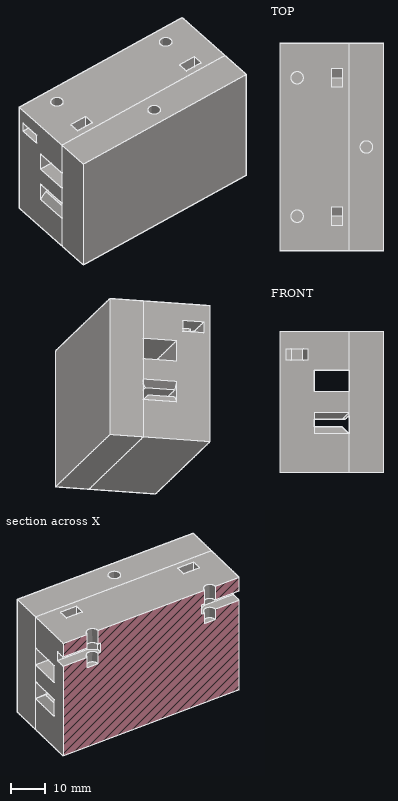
import cadquery as cq
import math

length = 60.0
height = 40.75
housing_width = 20.0
cover_width = 10.0
half_length = length / 2

channel_depth = 10.0
channel_x = housing_width - channel_depth
lead_in = 2.0
slot_height = 2.1
channel_height = slot_height + 2 * lead_in
channel_pitch = 2 * channel_height
slot_z = (height - channel_pitch) / 2
channel_z = slot_z + channel_pitch
upper_bevel_end = 1.1

screw_diameter = 3.6
screw_depth = 12.0
screw_offset_y = 20.0
housing_screw_x = 5.0
cover_screw_x = housing_width + cover_width / 2

nut_flats = 5.45
nut_corners = nut_flats / math.cos(math.radians(30))
nut_thickness = 3.2
end_nut_depth = 6.65
top_nut_inset = 3.5
top_nut_x = housing_width - top_nut_inset
top_nut_depth = 5.0


def block(x_start, width):
    body = cq.Workplane("XY").box(width, length, height, centered=(False, True, False))
    return body.translate((x_start, 0, 0))


def screw_hole(x, y):
    floor = height - screw_depth
    return cq.Workplane("XY", origin=(x, y, floor)).circle(screw_diameter / 2).extrude(screw_depth)


def end_nut_pocket(side):
    """Nut pocket entering an end face (side -1 front, 1 back), centred on the screw hole."""
    floor = height - end_nut_depth - nut_thickness / 2
    nut = (
        cq.Workplane("XY", origin=(housing_screw_x, side * screw_offset_y, floor))
        .polygon(6, nut_corners)
        .extrude(nut_thickness)
    )
    entry_length = half_length - screw_offset_y
    entry = (
        cq.Workplane("XY", origin=(housing_screw_x, side * (screw_offset_y + entry_length / 2), floor))
        .rect(nut_corners, entry_length)
        .extrude(nut_thickness)
    )
    return nut.union(entry)


def top_nut_pocket(y):
    """Nut pocket entering the top face, ending in a corner of the hexagon."""
    x_start = top_nut_x - nut_thickness / 2
    nut = (
        cq.Workplane("YZ", origin=(x_start, y, height - top_nut_depth))
        .transformed(rotate=(0, 0, 90))
        .polygon(6, nut_corners)
        .extrude(nut_thickness)
    )
    entry = (
        cq.Workplane("YZ", origin=(x_start, y, height - top_nut_depth / 2))
        .rect(nut_flats, top_nut_depth)
        .extrude(nut_thickness)
    )
    return nut.union(entry)


def plain_channel():
    return cq.Workplane("XY").box(channel_depth, length, channel_height).translate(
        (channel_x + channel_depth / 2, 0, channel_z)
    )


def slot_section(y, upper_bevel):
    """Slot outline across Y, bevelled where it meets the parting plane."""
    top = slot_z + slot_height / 2
    bottom = slot_z - slot_height / 2
    points = [
        (channel_x, bottom),
        (housing_width - lead_in, bottom),
        (housing_width, bottom - lead_in),
        (housing_width, top + upper_bevel),
        (housing_width - upper_bevel, top),
        (channel_x, top),
    ]
    return cq.Wire.makePolygon([cq.Vector(x, y, z) for x, z in points], close=True)


def slot_mouth(side):
    """Funnel at one end of the slot, with a 45 degree ramp above and below."""
    outer_y = side * half_length
    inner_y = side * (half_length - lead_in)
    return (
        cq.Workplane("YZ", origin=(channel_x, 0, slot_z))
        .polyline([
            (outer_y, -channel_height / 2),
            (outer_y, channel_height / 2),
            (inner_y, slot_height / 2),
            (inner_y, -slot_height / 2),
        ])
        .close()
        .extrude(channel_depth)
    )


def make_housing():
    front = slot_section(-half_length, lead_in)
    back = slot_section(half_length, upper_bevel_end)
    bevelled_slot = cq.Workplane(cq.Solid.makeLoft([front, back], True))
    body = block(0, housing_width).cut(plain_channel()).cut(bevelled_slot)
    for side in (-1, 1):
        y = side * screw_offset_y
        body = body.cut(slot_mouth(side))
        body = body.cut(screw_hole(housing_screw_x, y))
        body = body.cut(end_nut_pocket(side))
        body = body.cut(top_nut_pocket(y))
    return body


def make_cover():
    return block(housing_width, cover_width).cut(screw_hole(cover_screw_x, 0))


housing = make_housing()
cover = make_cover()
result = cq.Compound.makeCompound([housing.val(), cover.val()])